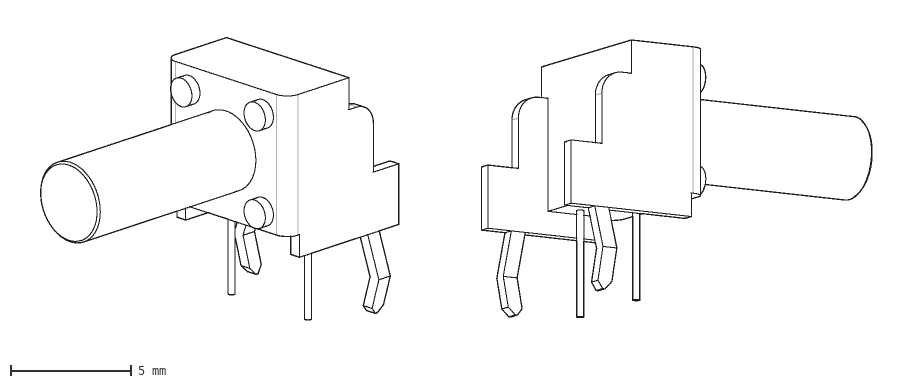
import cadquery as cq


overall_width = 8.5
overall_depth = 15.85
overall_height = 10.7

housing_width = 7.2
housing_depth = 3.65
housing_height = 6.2
housing_edge_radius = 0.63

plunger_diameter = 3.5
plunger_end_y = -9.27
plunger_chamfer = 0.1
plunger_z = 3.0
peg_diameter = 1.25
peg_height = 0.48
peg_pitch = 4.31

plate_thickness = 0.52
plate_front_y = 0.71
plate_rear_y = overall_depth + plunger_end_y
plate_bottom_z = -1.0
plate_step_y = 5.09
plate_step_z = 1.68
plate_top_z = 4.79
plate_corner_radius = 0.98

leg_width = 0.68
leg_bend_z = -2.82
leg_tip_z = housing_height - overall_height
leg_tip_half_x = 3.75
leg_taper_height = 0.32
leg_tip_flat = 0.11

pin_diameter = 0.3
pin_pitch = 4.49
pin_y = 2.58

half_width = housing_width / 2


def make_housing():
    block = cq.Workplane("XY").box(
        housing_width, housing_depth, housing_height, centered=(True, False, False)
    )
    return block.edges("|Z and <Y").fillet(housing_edge_radius)


def make_plunger():
    plunger = (
        cq.Workplane("XZ")
        .center(0, plunger_z)
        .circle(plunger_diameter / 2)
        .extrude(-plunger_end_y)
    )
    return plunger.faces("<Y").chamfer(plunger_chamfer)


def make_pegs():
    return (
        cq.Workplane("XZ")
        .center(0, plunger_z)
        .rarray(peg_pitch, peg_pitch, 2, 2)
        .circle(peg_diameter / 2)
        .extrude(peg_height)
    )


def make_plate():
    """Stepped side plate on the +X side, with a rounded upper rear corner."""
    return (
        cq.Workplane("YZ", origin=(half_width - plate_thickness, 0, 0))
        .moveTo(plate_front_y, plate_bottom_z)
        .lineTo(plate_rear_y, plate_bottom_z)
        .lineTo(plate_rear_y, plate_step_z)
        .lineTo(plate_step_y, plate_step_z)
        .lineTo(plate_step_y, plate_top_z - plate_corner_radius)
        .radiusArc((plate_step_y - plate_corner_radius, plate_top_z), -plate_corner_radius)
        .lineTo(plate_front_y, plate_top_z)
        .close()
        .extrude(plate_thickness)
    )


def make_leg():
    """Kinked leg on the +X side, cut to a blunt point at its lower end."""
    outer_edge = [
        (half_width, plate_bottom_z),
        (overall_width / 2, leg_bend_z),
        (leg_tip_half_x, leg_tip_z),
    ]
    inner_edge = [(x - plate_thickness, z) for x, z in reversed(outer_edge)]
    bent_strip = (
        cq.Workplane("XZ", origin=(0, plate_step_y, 0))
        .polyline(outer_edge + inner_edge)
        .close()
        .extrude(leg_width / 2, both=True)
    )
    taper_z = leg_tip_z + leg_taper_height
    pointed_outline = (
        cq.Workplane("YZ", origin=(0, plate_step_y, 0))
        .moveTo(-leg_width / 2, plate_bottom_z)
        .lineTo(-leg_width / 2, taper_z)
        .lineTo(-leg_tip_flat / 2, leg_tip_z)
        .lineTo(leg_tip_flat / 2, leg_tip_z)
        .lineTo(leg_width / 2, taper_z)
        .lineTo(leg_width / 2, plate_bottom_z)
        .close()
        .extrude(overall_width)
    )
    return bent_strip.intersect(pointed_outline)


def make_pins():
    return (
        cq.Workplane("XY")
        .pushPoints([(-pin_pitch / 2, pin_y), (pin_pitch / 2, pin_y)])
        .circle(pin_diameter / 2)
        .extrude(leg_tip_z)
    )


bracket_side = make_plate().union(make_leg())

result = (
    make_housing()
    .union(make_plunger())
    .union(make_pegs())
    .union(bracket_side)
    .union(bracket_side.mirror("YZ"))
    .union(make_pins())
)